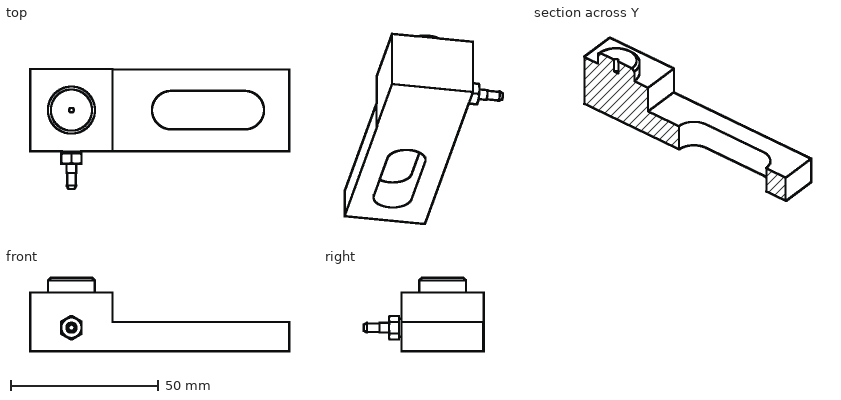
import cadquery as cq
import math

total_length = 88.0
block_side = 28.0
block_height = 20.0
arm_width = 27.8
arm_height = 10.0
block_center = block_side / 2

slot_width = 13.0
slot_length = 38.0
slot_end_margin = 8.6
slot_center_x = total_length - slot_end_margin - slot_length / 2
slot_center_y = block_center

button_diameter = 16.0
button_height = 5.0
button_chamfer = 1.0
button_hole_diameter = 1.6
button_hole_depth = button_height

fitting_height = 8.0
neck_diameter = 6.2
neck_length = 0.75
hex_across_flats = 7.0
hex_across_corners = hex_across_flats / math.cos(math.pi / 6)
hex_length = 3.5
hex_chamfer_diameter = 6.95
hex_chamfer_angle = math.radians(30)
collar_diameter = 3.4
collar_length = 3.1
stem_diameter = 3.0
stem_length = 4.25
barb_diameter = 3.4
barb_tip_diameter = 2.1
barb_length = 1.2


def make_body():
    block = cq.Workplane("XY").box(block_side, block_side, block_height, centered=False)
    arm = cq.Workplane("XY").box(total_length, arm_width, arm_height, centered=False)
    slot = (
        cq.Workplane("XY")
        .center(slot_center_x, slot_center_y)
        .slot2D(slot_length, slot_width)
        .extrude(arm_height)
    )
    return block.union(arm).cut(slot)


def make_button():
    return (
        cq.Workplane("XY", origin=(block_center, block_center, block_height))
        .circle(button_diameter / 2)
        .extrude(button_height)
        .faces(">Z")
        .chamfer(button_chamfer)
        .faces(">Z")
        .workplane()
        .hole(button_hole_diameter, button_hole_depth)
    )


def fitting_plane(distance):
    """Workplane facing -Y on the fitting axis, at a distance from the block face."""
    return cq.Workplane("XZ", origin=(block_center, -distance, fitting_height))


def make_cylinder(start, diameter, length):
    return fitting_plane(start).circle(diameter / 2).extrude(length)


def make_hex(start):
    """Hexagon with corners up and down, its outer corners cut back by a cone."""
    corner_radius = hex_across_corners / 2
    chamfer_radius = hex_chamfer_diameter / 2
    chamfer_length = (corner_radius - chamfer_radius) * math.tan(hex_chamfer_angle)
    prism = (
        fitting_plane(start)
        .transformed(rotate=(0, 0, 90))
        .polygon(6, hex_across_corners)
        .extrude(hex_length)
    )
    envelope = (
        make_cylinder(start, hex_across_corners, hex_length)
        .faces("<Y")
        .chamfer(chamfer_length, corner_radius - chamfer_radius)
    )
    return prism.intersect(envelope)


def make_barb(start):
    return (
        fitting_plane(start)
        .circle(barb_diameter / 2)
        .workplane(offset=barb_length)
        .circle(barb_tip_diameter / 2)
        .loft()
    )


def make_fitting():
    hex_start = neck_length
    collar_start = hex_start + hex_length
    stem_start = collar_start + collar_length
    barb_start = stem_start + stem_length
    return (
        make_cylinder(0, neck_diameter, neck_length)
        .union(make_hex(hex_start))
        .union(make_cylinder(collar_start, collar_diameter, collar_length))
        .union(make_cylinder(stem_start, stem_diameter, stem_length))
        .union(make_barb(barb_start))
    )


result = make_body().union(make_button()).union(make_fitting())